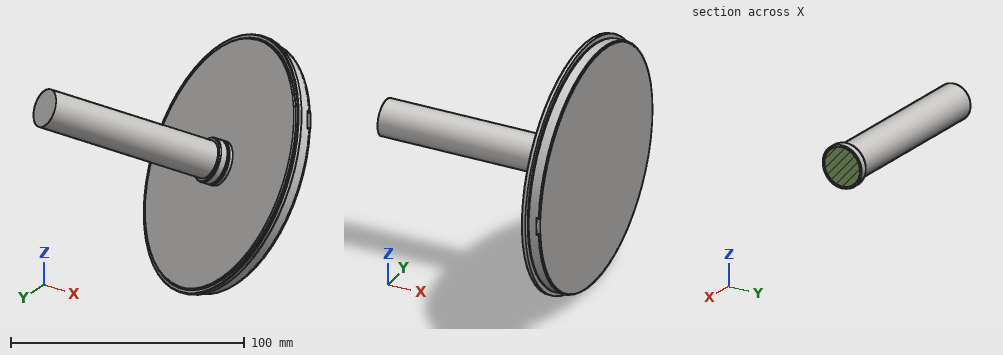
import cadquery as cq
import math

total_length = 100.1
collar_start = 84.8
collar_end = 88.6
lip_start = 90.0
plate_start = 91.5
flange_start = 92.2
flange_end = 94.0
rim_start = 94.5
rim_end = 99.5

shaft_diameter = 17.0
neck_diameter = 18.2
collar_diameter = 20.0
plate_diameter = 111.0
rim_diameter = 112.0
flange_diameter = 115.5

collar_chamfer_length = 0.7
collar_chamfer_height = 0.3
flange_chamfer = 0.3
rim_chamfer_length = 0.5

groove_outer_diameter = 112.3
groove_depth = 0.3

notch_length = 1.7
notch_floor_diameter = 111.5
notch_floor_width = 7.3
notch_mouth_width = 8.7
pad_thickness = 1.2


def revolve_about_x(points):
    """Solid of revolution about X from (axial station, radius) points."""
    return cq.Workplane("XY").polyline(points).close().revolve(360, (0, 0, 0), (1, 0, 0))


def make_body():
    """Stepped shaft, collar, plate, flange and rim as a single turned profile."""
    shaft = shaft_diameter / 2
    neck = neck_diameter / 2
    collar = collar_diameter / 2
    plate = plate_diameter / 2
    flange = flange_diameter / 2
    rim = rim_diameter / 2
    return revolve_about_x([
        (0, 0),
        (0, shaft),
        (collar_start, shaft),
        (collar_start, collar - collar_chamfer_height),
        (collar_start + collar_chamfer_length, collar),
        (collar_end, collar),
        (collar_end, neck),
        (lip_start, neck),
        (lip_start, collar),
        (plate_start, collar),
        (plate_start, plate),
        (flange_start, plate),
        (flange_start, flange - flange_chamfer),
        (flange_start + flange_chamfer, flange),
        (flange_end, flange),
        (flange_end, plate),
        (rim_start, plate),
        (rim_start + rim_chamfer_length, rim),
        (rim_end, rim),
        (rim_end, plate),
        (total_length, plate),
        (total_length, 0),
    ])


def make_flange_groove():
    """V-section ring that bevels the flange face down to the plate."""
    inner = plate_diameter / 2
    outer = groove_outer_diameter / 2
    return revolve_about_x([
        (flange_start, inner),
        (flange_start + groove_depth, inner),
        (flange_start, outer),
    ])


def chord_distance(diameter, width):
    """Distance from the axis to a chord of the given width."""
    return math.sqrt((diameter / 2) ** 2 - (width / 2) ** 2)


def make_notch():
    """Trapezoidal prism whose walls lean outward from the notch floor."""
    floor_y = -chord_distance(notch_floor_diameter, notch_floor_width)
    rim_y = -chord_distance(rim_diameter, notch_mouth_width)
    half_floor = notch_floor_width / 2
    wall_slope = (notch_mouth_width / 2 - half_floor) / (floor_y - rim_y)
    mouth_y = -rim_diameter / 2
    half_mouth = half_floor + wall_slope * (floor_y - mouth_y)
    return (
        cq.Workplane("YZ")
        .workplane(offset=total_length - notch_length)
        .polyline([
            (floor_y, -half_floor),
            (floor_y, half_floor),
            (mouth_y, half_mouth),
            (mouth_y, -half_mouth),
        ])
        .close()
        .extrude(notch_length)
    )


def make_notch_pad():
    """Pad that carries the curved notch floor level to the back face."""
    start = total_length - notch_length
    cylinder = (
        cq.Workplane("YZ").workplane(offset=start).circle(notch_floor_diameter / 2).extrude(notch_length)
    )
    block = cq.Workplane("XY").box(
        notch_length, pad_thickness, notch_floor_width, centered=(False, False, True)
    ).translate((start, -notch_floor_diameter / 2, 0))
    return cylinder.intersect(block)


result = make_body().cut(make_flange_groove()).cut(make_notch()).union(make_notch_pad())